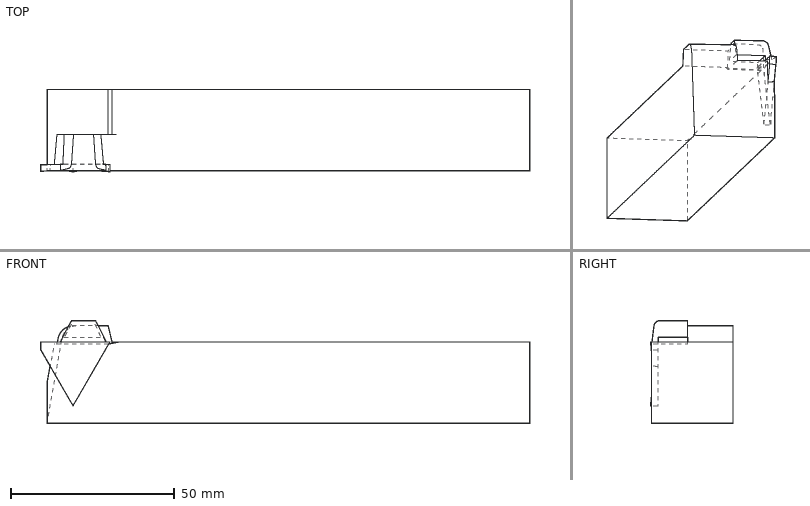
import cadquery as cq
import math

length = 150.0
shank_size = 25.0
nose_x = 2.0

relief_start_z = 12.8
relief_angle = 10.0
relief_skew = 5.0
relief_reach = 60.0

hump_top_z = 30.0
hump_front_y = 11.1
hump_top_end_x = 20.7
hump_base_end_x = 21.9
hump_nose_radius = 5.0

seat_z = 24.3
seat_end_x = 20.8
ramp_end_back_x = 23.1
ramp_end_front_x = 24.5

clamp_top_z = 31.5
clamp_front_base_x = (6.0, 20.1)
clamp_front_top_x = (9.3, 17.0)
clamp_back_base_x = (6.5, 19.0)
clamp_back_top_x = (10.0, 16.2)
clamp_gap_z = 26.4
clamp_lip_y = 2.1
clamp_toe_y = 0.2
clamp_brow = (0.8, 30.0)
clamp_brow_mid = (1.4, 31.0)
clamp_flat_y = 3.2

insert_thickness = 2.0
insert_apex_x = 9.9
insert_apex_z = 5.4
insert_height = shank_size - insert_apex_z
insert_half_side = insert_height / math.sqrt(3)
tip_rise = 0.3
tip_length = 3.2


def make_insert():
    def outline_prism(front_y, back_y):
        prism = (
            cq.Workplane("XZ", origin=(0, back_y, 0))
            .moveTo(insert_apex_x, insert_apex_z)
            .lineTo(insert_apex_x + insert_half_side, shank_size)
            .lineTo(insert_apex_x - insert_half_side, shank_size)
            .close()
            .extrude(back_y - front_y)
        )
        grinding_block = cq.Workplane("XY").box(length, length, length, centered=(False, True, True))
        return prism.intersect(grinding_block)

    plate = outline_prism(0, insert_thickness)
    tip_limits = outline_prism(-tip_rise, 0)
    center_z = shank_size - insert_height / 3
    axis_start = (insert_apex_x, 0, center_z)
    axis_end = (insert_apex_x, 1, center_z)
    for corner in range(3):
        wedge = (
            cq.Workplane("YZ", origin=(insert_apex_x, 0, 0))
            .polyline([
                (0, insert_apex_z + tip_length),
                (-tip_rise, insert_apex_z),
                (0, insert_apex_z),
            ])
            .close()
            .extrude(insert_half_side, both=True)
            .rotate(axis_start, axis_end, 120 * corner)
        )
        plate = plate.union(wedge.intersect(tip_limits))
    return plate


def make_relief():
    slope_z = math.tan(math.radians(relief_angle))
    slope_y = math.tan(math.radians(relief_skew))
    face = cq.Plane(
        origin=(nose_x, 0, relief_start_z),
        xDir=(slope_y, 1, 0),
        normal=(-1, slope_y, slope_z),
    )
    return cq.Workplane(face).rect(2 * relief_reach, 2 * relief_reach).extrude(relief_reach)


def make_hump():
    hump = (
        cq.Workplane("XZ", origin=(0, shank_size, 0))
        .moveTo(nose_x, seat_z)
        .lineTo(hump_base_end_x, seat_z)
        .lineTo(hump_base_end_x, shank_size)
        .lineTo(hump_top_end_x, hump_top_z)
        .lineTo(nose_x, hump_top_z)
        .close()
        .extrude(shank_size - hump_front_y)
        .cut(make_relief())
    )
    return hump.faces(">Z").edges("<X").fillet(hump_nose_radius)


def make_seat():
    def section(y, ramp_end_x):
        points = [(0, seat_z), (seat_end_x, seat_z), (ramp_end_x, shank_size), (0, shank_size)]
        return cq.Wire.makePolygon([cq.Vector(x, y, z) for x, z in points], close=True)

    return cq.Solid.makeLoft(
        [section(0, ramp_end_front_x), section(hump_front_y, ramp_end_back_x)], True
    )


def make_clamp():
    def section(y, base_x, top_x):
        points = [
            (base_x[0], shank_size),
            (base_x[1], shank_size),
            (top_x[1], clamp_top_z),
            (top_x[0], clamp_top_z),
        ]
        return cq.Wire.makePolygon([cq.Vector(x, y, z) for x, z in points], close=True)

    tapered_block = cq.Solid.makeLoft(
        [
            section(0, clamp_front_base_x, clamp_front_top_x),
            section(hump_front_y, clamp_back_base_x, clamp_back_top_x),
        ],
        True,
    )
    side_profile = (
        cq.Workplane("YZ")
        .moveTo(hump_front_y, clamp_gap_z)
        .lineTo(hump_front_y, clamp_top_z)
        .lineTo(clamp_flat_y, clamp_top_z)
        .threePointArc(clamp_brow_mid, clamp_brow)
        .lineTo(clamp_toe_y, shank_size)
        .lineTo(clamp_lip_y, shank_size)
        .lineTo(clamp_lip_y, clamp_gap_z)
        .close()
        .extrude(hump_base_end_x)
    )
    return side_profile.intersect(cq.Workplane(tapered_block))


def make_holder(insert):
    shank = cq.Workplane("XY", origin=(nose_x, 0, 0)).box(
        length - nose_x, shank_size, shank_size, centered=False
    )
    return (
        shank
        .cut(make_relief())
        .union(make_hump())
        .cut(cq.Workplane(make_seat()))
        .union(make_clamp())
        .cut(insert)
    )


insert = make_insert()
holder = make_holder(insert)
result = cq.Compound.makeCompound([holder.solids().val(), insert.solids().val()])